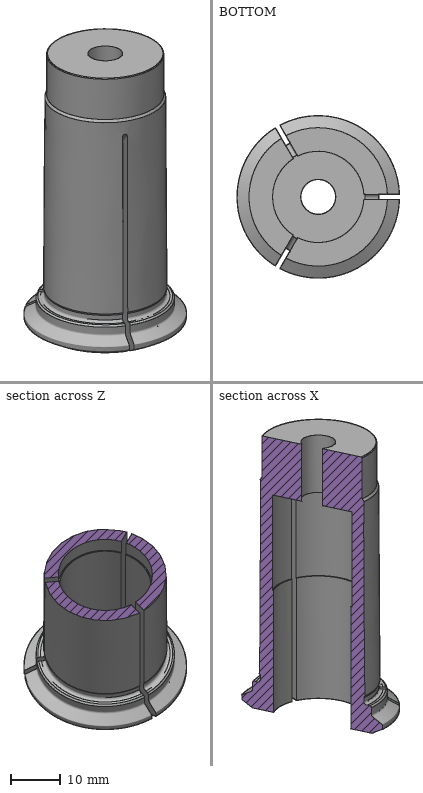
import cadquery as cq
import math

total_height = 60.5
spigot_radius = 23.8 / 2
spigot_base_z = 51.3
spigot_edge_chamfer = 0.2

body_top_radius = 12.3
body_top_z = 50.75
body_base_radius = 12.5
body_base_z = 8.0

neck_radius = 12.3
neck_top_z = 7.55
neck_base_z = 6.55
undercut_outer_radius = 13.1
undercut_arc_radius = 0.6

collar_radius = 14.05
collar_top_z = 6.1
collar_edge_chamfer = 0.35
collar_root_fillet = 0.5

rim_radius = 33.0 / 2
rim_edge_height = 1.0
rim_edge_fillet = 0.25
rim_bevel_angle = 30.0
rim_bevel_height = (rim_radius - collar_radius) * math.tan(math.radians(rim_bevel_angle))
rim_edge_top_z = rim_bevel_height + rim_edge_height
collar_base_z = rim_edge_top_z + rim_bevel_height

spigot_hole_radius = 7.0 / 2
clamping_bore_radius = 18.5 / 2
relief_radius = 19.0 / 2
relief_base_z = 27.0

slit_count = 3
slit_width = 1.0
slit_top_z = 47.85
slit_end_slope = 45.0
slit_end_flat = 0.04
slit_end_fillet = (slit_width - slit_end_flat) / 2


def make_outer_body():
    """Revolve the outside profile around the Z axis."""
    bevel = math.radians(rim_bevel_angle)
    tangent_length = collar_root_fillet * math.tan((math.pi / 2 - bevel) / 2)
    fillet_start = (
        collar_radius + tangent_length * math.cos(bevel),
        collar_base_z - tangent_length * math.sin(bevel),
    )
    fillet_end = (collar_radius, collar_base_z + tangent_length)

    profile = (
        cq.Workplane("XZ")
        .lineTo(collar_radius, 0)
        .lineTo(rim_radius, rim_bevel_height)
        .lineTo(rim_radius, rim_edge_top_z)
        .lineTo(*fillet_start)
        .radiusArc(fillet_end, collar_root_fillet)
        .lineTo(collar_radius, collar_top_z - collar_edge_chamfer)
        .lineTo(collar_radius - collar_edge_chamfer, collar_top_z)
        .lineTo(undercut_outer_radius, collar_top_z)
        .radiusArc((neck_radius, neck_base_z), undercut_arc_radius)
        .lineTo(neck_radius, neck_top_z)
        .lineTo(body_base_radius, body_base_z)
        .lineTo(body_top_radius, body_top_z)
        .lineTo(spigot_radius, spigot_base_z)
        .lineTo(spigot_radius, total_height - spigot_edge_chamfer)
        .lineTo(spigot_radius - spigot_edge_chamfer, total_height)
        .lineTo(0, total_height)
        .close()
    )
    body = profile.revolve(360, (0, 0, 0), (0, 1, 0))

    search_margin = 0.05
    search_reach = rim_radius + search_margin
    rim_corners = cq.selectors.BoxSelector(
        (-search_reach, -search_reach, rim_bevel_height - search_margin),
        (search_reach, search_reach, rim_edge_top_z + search_margin),
    )
    return body.edges("%CIRCLE").edges(rim_corners).fillet(rim_edge_fillet)


def make_cavity():
    """Clamping bore, relief up to the slit ends, and spigot hole, all on the Z axis."""
    clamping_bore = cq.Workplane("XY").circle(clamping_bore_radius).extrude(relief_base_z)
    relief = (
        cq.Workplane("XY", origin=(0, 0, relief_base_z))
        .circle(relief_radius)
        .extrude(slit_top_z - relief_base_z)
    )
    spigot_hole = cq.Workplane("XY").circle(spigot_hole_radius).extrude(total_height)
    return spigot_hole.union(clamping_bore).union(relief)


def make_slit(angle):
    """Radial slit whose rounded end slopes down towards the axis."""
    outer_reach = rim_radius + slit_width
    rise = math.tan(math.radians(slit_end_slope))
    end_axis_z = slit_top_z - body_top_radius * rise
    sloping_end_normal = cq.Vector(-rise, 0, 1)
    blade = (
        cq.Workplane("XZ")
        .lineTo(outer_reach, 0)
        .lineTo(outer_reach, end_axis_z + outer_reach * rise)
        .lineTo(0, end_axis_z)
        .close()
        .extrude(slit_width / 2, both=True)
        .faces(cq.selectors.DirectionMinMaxSelector(sloping_end_normal, True))
        .edges("not |Y")
        .fillet(slit_end_fillet)
    )
    return blade.rotate((0, 0, 0), (0, 0, 1), angle)


result = make_outer_body().cut(make_cavity())
for index in range(slit_count):
    result = result.cut(make_slit(index * 360 / slit_count))